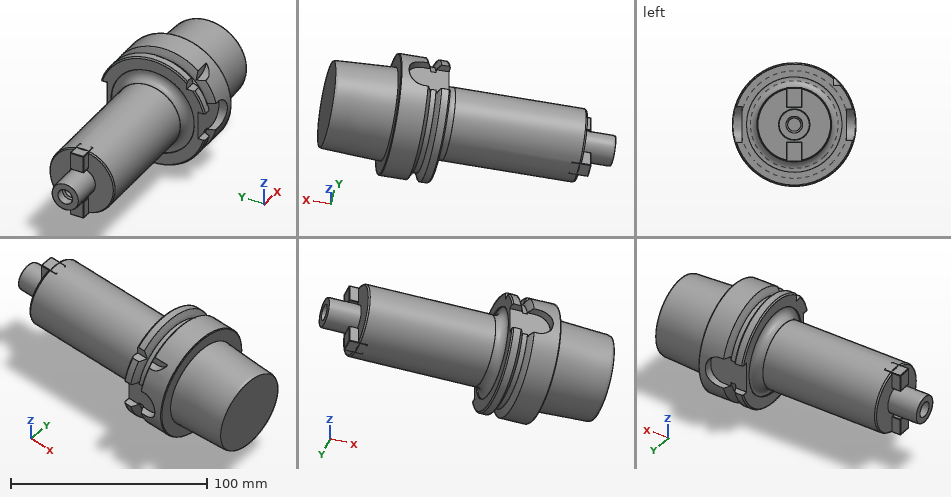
import cadquery as cq
import math


flange_radius = 63.0 / 2
flange_width = 26.1
front_chamfer = 0.7
back_chamfer = 0.5

groove_center = -17.9
groove_floor_width = 2.7
groove_floor_radius = 27.4
groove_knee_width = 3.7
groove_knee_radius = 28.8
groove_mouth_width = 6.3
groove_lip = 0.5

taper_length = 32.0
taper_radius = 24.3
taper_slope = 1 / 20
taper_end_chamfer = 1.3
taper_end_drop = 0.5

shank_radius = 38.0 / 2
shank_length = 73.8
shank_chamfer_length = 0.9
shank_chamfer_drop = 0.52
neck_radius = 37.8 / 2
neck_length = 4.9
shoulder_radius = 4.3
recess_radius = 24.3
recess_depth = 0.7

total_length = 149.0
pilot_radius = 16.0 / 2
pilot_chamfer_length = 1.0
pilot_chamfer_drop = 0.3
bore_mouth_radius = 8.5 / 2
bore_mouth_depth = 4.8
bore_radius = 6.7 / 2
bore_depth = 20.0

key_width = 7.9
key_inner = 8.8
key_outer = 18.8
key_projection = 5.0
key_embedment = 5.0
key_chamfer = 0.3

slot_floor = 26.5
slot_end = -4.3
slot_corner_radius = 16.0 / 2
narrow_slot_width = 2 * slot_corner_radius
wide_slot_width = 18.3

notch_wall = 20.0
notch_cutter_radius = 8.0
notch_cutter_center = -13.0

flange_front = -flange_width
shank_front = flange_front - shank_length
pilot_front = taper_length - total_length
clearance = 1.5
arc_sine = math.sin(math.pi / 4)


def make_body():
    """Revolve the outer outline, listed from the pilot tip to the taper end."""
    pilot_tip_radius = pilot_radius - pilot_chamfer_drop
    shoulder_end = flange_front + recess_depth
    shoulder_start = shoulder_end - shoulder_radius
    shoulder_foot = neck_radius + shoulder_radius
    shoulder_middle = (
        shoulder_start + shoulder_radius * arc_sine,
        shoulder_foot - shoulder_radius * arc_sine,
    )
    taper_edge = taper_length - taper_end_chamfer
    taper_edge_radius = taper_radius - taper_slope * taper_edge

    outline = (
        cq.Workplane("XY")
        .moveTo(pilot_front, 0)
        .lineTo(pilot_front, pilot_tip_radius)
        .lineTo(pilot_front + pilot_chamfer_length, pilot_radius)
        .lineTo(shank_front, pilot_radius)
        .lineTo(shank_front, shank_radius - shank_chamfer_drop)
        .lineTo(shank_front + shank_chamfer_length, shank_radius)
        .lineTo(flange_front - neck_length, shank_radius)
        .lineTo(flange_front - neck_length, neck_radius)
        .lineTo(shoulder_start, neck_radius)
        .threePointArc(shoulder_middle, (shoulder_end, shoulder_foot))
        .lineTo(shoulder_end, recess_radius)
        .lineTo(flange_front, recess_radius)
        .lineTo(flange_front, flange_radius - front_chamfer)
        .lineTo(flange_front + front_chamfer, flange_radius)
        .lineTo(groove_center - groove_mouth_width / 2 - groove_lip, flange_radius)
        .lineTo(groove_center - groove_mouth_width / 2, flange_radius - groove_lip)
        .lineTo(groove_center - groove_knee_width / 2, groove_knee_radius)
        .lineTo(groove_center - groove_floor_width / 2, groove_floor_radius)
        .lineTo(groove_center + groove_floor_width / 2, groove_floor_radius)
        .lineTo(groove_center + groove_knee_width / 2, groove_knee_radius)
        .lineTo(groove_center + groove_mouth_width / 2, flange_radius - groove_lip)
        .lineTo(groove_center + groove_mouth_width / 2 + groove_lip, flange_radius)
        .lineTo(-back_chamfer, flange_radius)
        .lineTo(0, flange_radius - back_chamfer)
        .lineTo(0, taper_radius)
        .lineTo(taper_edge, taper_edge_radius)
        .lineTo(taper_length, taper_edge_radius - taper_end_drop)
        .lineTo(taper_length, 0)
        .close()
    )
    return outline.revolve(360, (0, 0, 0), (1, 0, 0))


def make_bore():
    """Wide mouth, 45-degree step and a narrower blind bore."""
    mouth_end = pilot_front + bore_mouth_depth
    step = bore_mouth_radius - bore_radius
    bore_end = pilot_front + bore_depth
    points = [
        (pilot_front, 0),
        (pilot_front, bore_mouth_radius),
        (mouth_end, bore_mouth_radius),
        (mouth_end + step, bore_radius),
        (bore_end, bore_radius),
        (bore_end, 0),
    ]
    return cq.Workplane("XY").polyline(points).close().revolve(360, (0, 0, 0), (1, 0, 0))


def make_key(side):
    """Driving key above (side = 1) or below (side = -1) the pilot."""
    length = key_projection + key_embedment
    height = key_outer - key_inner
    key = cq.Workplane("XY").box(length, key_width, height).edges().chamfer(key_chamfer)
    center_x = shank_front + (key_embedment - key_projection) / 2
    return key.translate((center_x, 0, side * (key_outer + key_inner) / 2))


def make_slot(side, width):
    """Round-cornered slot cutter, open at the flange front, on the side * Y rim."""
    depth = flange_radius + clearance - slot_floor
    front = flange_front - clearance
    corner_x = slot_end - slot_corner_radius
    half = width / 2
    corner_z = half - slot_corner_radius
    arc_x = corner_x + slot_corner_radius * arc_sine
    arc_z = corner_z + slot_corner_radius * arc_sine
    outline = (
        cq.Workplane("XZ", origin=(0, side * slot_floor, 0))
        .moveTo(front, -half)
        .lineTo(corner_x, -half)
        .threePointArc((arc_x, -arc_z), (slot_end, -corner_z))
    )
    if corner_z > 0:
        outline = outline.lineTo(slot_end, corner_z)
    outline = outline.threePointArc((arc_x, arc_z), (corner_x, half)).lineTo(front, half).close()
    return outline.extrude(-side * depth)


def make_notch():
    """Square-cornered notch cutter whose floor runs out along a cutter radius."""
    reach = flange_radius - notch_wall
    front = flange_front - clearance
    cutter_z = notch_wall + notch_cutter_radius
    runout = (
        notch_cutter_center + notch_cutter_radius * arc_sine,
        cutter_z - notch_cutter_radius * arc_sine,
    )
    return (
        cq.Workplane("XZ", origin=(0, -notch_wall, 0))
        .moveTo(front, notch_wall)
        .lineTo(notch_cutter_center, notch_wall)
        .threePointArc(runout, (notch_cutter_center + notch_cutter_radius, cutter_z))
        .lineTo(front, cutter_z)
        .close()
        .extrude(reach)
    )


result = make_body()
for key_side in (1, -1):
    result = result.union(make_key(key_side))
result = result.cut(make_bore())
result = result.cut(make_slot(-1, narrow_slot_width))
result = result.cut(make_slot(1, wide_slot_width))
result = result.cut(make_notch())